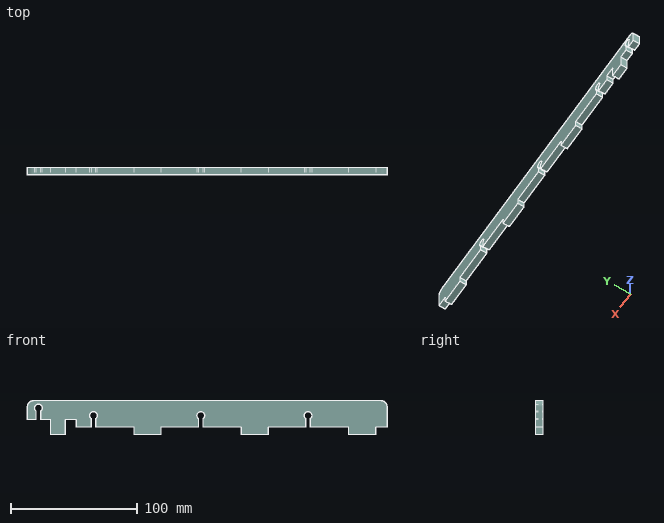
import cadquery as cq

length = 285.0
thickness = 6.0
height = 27.0
corner_radius = 5.0

tab_depth = thickness
edge_z = tab_depth
end_notch_z = 2 * tab_depth
end_notch_length = 38.8

foot_start = 18.2
foot_width = 2 * thickness

pitch = 85.0
repeat_count = 3
tab_start = 84.5
tab_width = 21.7
slot_width = 3.5
slot_hole_diameter = 6.0
first_slot_x = 52.5
first_slot_hole_z = 15.0
end_slot_x = 8.8
end_slot_hole_z = first_slot_hole_z + tab_depth


def block(x_start, x_end, z_start, z_end):
    """Full-thickness block measured from the bar's left end and bottom."""
    return cq.Workplane("XY").box(
        x_end - x_start, thickness, z_end - z_start, centered=False
    ).translate((x_start, 0, z_start))


def keyhole(x, hole_z):
    """Cutter for a slot open at the bottom with a round relief at its top."""
    slot = block(x - slot_width / 2, x + slot_width / 2, 0, hole_z)
    hole = (
        cq.Workplane("XZ")
        .center(x, hole_z)
        .circle(slot_hole_diameter / 2)
        .extrude(-thickness)
    )
    return slot.union(hole)


bar = block(0, length, edge_z, height)
bar = bar.edges("|Y and >Z").fillet(corner_radius)

bar = bar.cut(block(0, end_notch_length, edge_z, end_notch_z))
bar = bar.union(block(foot_start, foot_start + foot_width, 0, end_notch_z))

for index in range(repeat_count):
    tab_x = tab_start + index * pitch
    bar = bar.union(block(tab_x, tab_x + tab_width, 0, edge_z))

bar = bar.cut(keyhole(end_slot_x, end_slot_hole_z))
for index in range(repeat_count):
    bar = bar.cut(keyhole(first_slot_x + index * pitch, first_slot_hole_z))

result = bar.translate((-length / 2, -thickness / 2, -height / 2))